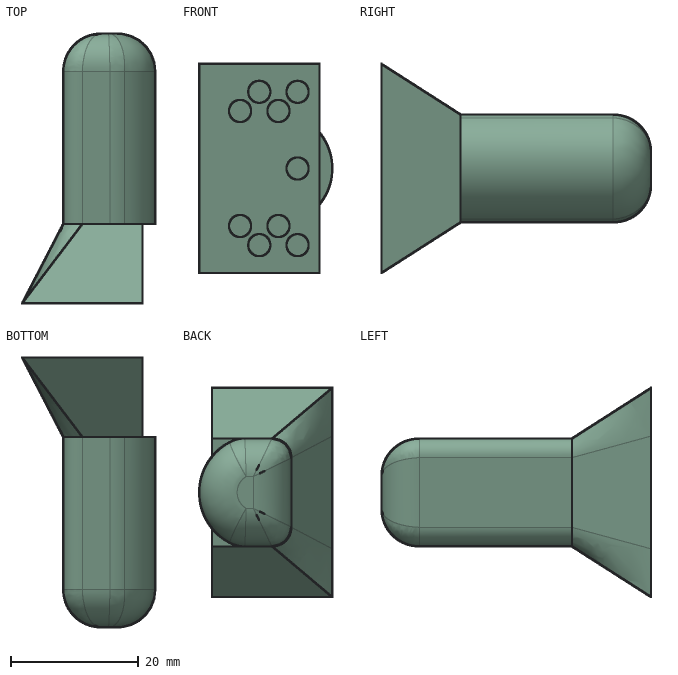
import cadquery as cq
import math

plate_width = 19.0
plate_height = 33.0
plate_flat_height = 17.75

total_length = 42.5
neck_length = 12.5
handle_left = 6.45
handle_right = 21.0
handle_height = 17.0
crown_radius = 8.92
left_edge_radius = 3.0
right_edge_radius = 5.0
dome_radius = 6.0

hole_diameter = 3.5
hole_depth = 3.0
hole_pitch = 3.0
right_hole_x = 15.5
centre_hole = [(0, 0)]
upper_holes = [(0, 4), (1, 3), (2, 4), (3, 3)]
lower_holes = [(across, -up) for across, up in upper_holes]


def make_handle():
    """Bar with a crowned right side, rounded long edges and a domed free end."""
    half_height = handle_height / 2
    crown_centre_x = handle_right - crown_radius
    corner_x = crown_centre_x + math.sqrt(crown_radius**2 - half_height**2)
    bar = (
        cq.Workplane("XZ", origin=(0, neck_length, 0))
        .moveTo(handle_left, -half_height)
        .lineTo(corner_x, -half_height)
        .threePointArc((handle_right, 0), (corner_x, half_height))
        .lineTo(handle_left, half_height)
        .close()
        .extrude(neck_length - total_length)
    )
    bar = bar.edges("|Y").edges(">X").fillet(right_edge_radius)
    bar = bar.faces(">Y").edges().fillet(dome_radius)
    return bar.edges("|Y").edges("<X").fillet(left_edge_radius)


def neck_section(y, left, height, flat_height, corner_radius):
    """Closed section of the neck; a zero corner radius makes the left corners sharp."""
    half = height / 2
    half_flat = flat_height / 2
    corner_x = left + corner_radius
    arc_inset = corner_radius * (1 - math.sqrt(0.5))

    def line(start, end):
        return cq.Edge.makeLine(cq.Vector(start[0], y, start[1]), cq.Vector(end[0], y, end[1]))

    def corner(side):
        start = (corner_x, side * half)
        end = (left, side * half_flat)
        if corner_radius == 0:
            return line(start, end)
        middle = (left + arc_inset, side * (half - arc_inset))
        return cq.Edge.makeThreePointArc(*[cq.Vector(x, y, z) for x, z in (start, middle, end)])

    return cq.Wire.assembleEdges([
        line((plate_width, -half), (plate_width, half)),
        line((plate_width, half), (corner_x, half)),
        corner(1),
        line((left, half_flat), (left, -half_flat)),
        corner(-1),
        line((corner_x, -half), (plate_width, -half)),
    ])


def make_neck():
    """Ruled loft from the sharp-cornered plate face to the rounded end of the handle."""
    plate_section = neck_section(0, 0, plate_height, plate_flat_height, 0)
    handle_flat_height = handle_height - 2 * left_edge_radius
    handle_section = neck_section(
        neck_length, handle_left, handle_height, handle_flat_height, left_edge_radius)
    return cq.Workplane(cq.Solid.makeLoft([plate_section, handle_section], True))


def make_holes():
    """Blind holes going in from the plate face."""
    centres = [
        (right_hole_x - across * hole_pitch, up * hole_pitch)
        for across, up in centre_hole + upper_holes + lower_holes
    ]
    return cq.Workplane("XZ").pushPoints(centres).circle(hole_diameter / 2).extrude(-hole_depth)


result = make_handle().union(make_neck()).cut(make_holes())